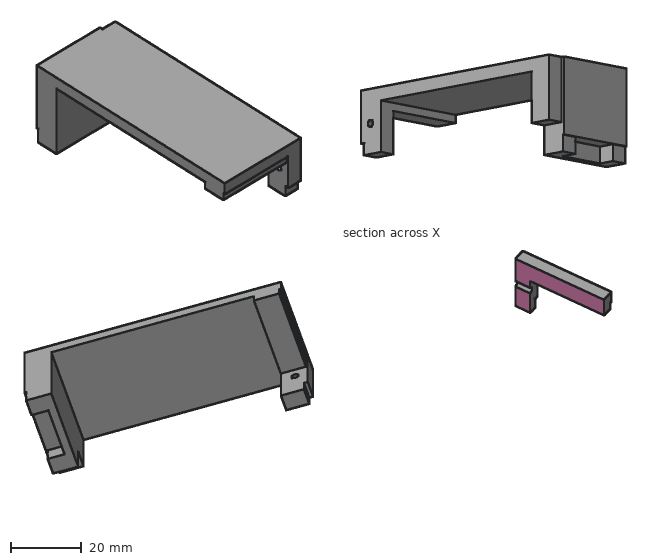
import cadquery as cq

length = 76.0
width = 30.0
height = 27.3

slab_thickness = 3.95
rear_strip = 5.0
front_width = width - rear_strip

leg_thickness = 8.0
foot_height = 4.9
foot_inset = 0.5
foot_width = 5.0
foot_depth = 5.0

lug_height = 18.8
left_lug_inset = 1.0
lip_height = 3.5
lip_inset = 1.15

pad_drop = 2.35
pad_inset = 0.5

hole_diameter = 2.0
hole_from_right = 3.8
hole_from_top = 9.95


def block(x_range, y_range, z_range):
    """Axis-aligned block spanning the given (low, high) ranges."""
    (x0, x1), (y0, y1), (z0, z1) = x_range, y_range, z_range
    return cq.Workplane("XY").box(x1 - x0, y1 - y0, z1 - z0, centered=False).translate((x0, y0, z0))


slab_bottom = height - slab_thickness
lug_bottom = height - lug_height
lip_top = lug_bottom + lip_height
right_end_start = length - leg_thickness
front_span = (0, front_width)
rear_span = (front_width, width)


def slab():
    front = block((0, length), front_span, (slab_bottom, height))
    rear = block((left_lug_inset, length), rear_span, (slab_bottom, height))
    return front.union(rear)


def left_leg():
    upper = block((0, leg_thickness), front_span, (foot_height, height))
    lower = block((foot_inset, leg_thickness), front_span, (0, foot_height))
    recess = block(
        (foot_inset, foot_inset + foot_depth),
        (foot_width, front_width - foot_width),
        (0, foot_height),
    )
    return upper.union(lower.cut(recess))


def left_lug():
    return block((left_lug_inset, leg_thickness), rear_span, (lug_bottom, height))


def right_lug():
    upper = block((right_end_start, length), rear_span, (lip_top, height))
    lower = block((right_end_start, length - lip_inset), rear_span, (lug_bottom, lip_top))
    hole = (
        cq.Workplane("XZ", origin=(length - hole_from_right, width, height - hole_from_top))
        .circle(hole_diameter / 2)
        .extrude(rear_strip)
    )
    return upper.union(lower).cut(hole)


def right_pad():
    return block((right_end_start, length - pad_inset), front_span, (slab_bottom - pad_drop, height))


result = slab()
for feature in (left_leg(), left_lug(), right_lug(), right_pad()):
    result = result.union(feature)
result = result.clean()